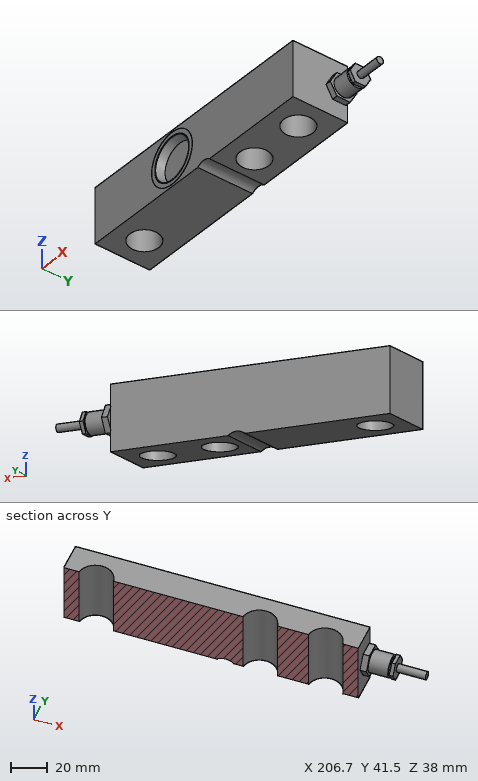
import cadquery as cq
import math

BEAM_LENGTH = 171.4
BEAM_SIDE = 38.0

HOLE_DIAMETER = 20.0
HOLE_POSITIONS = (19.0, 114.3, 152.3)

POCKET_X = 66.8
RIM_DIAMETER = 35.1
RIM_BORE_DIAMETER = 29.5
RIM_HEIGHT = 0.2
POCKET_DIAMETER = 28.5
POCKET_FLOOR_DIAMETER = 25.6
POCKET_DEPTH = 5.4

NOTCH_X = 94.0
NOTCH_WIDTH = 10.1
NOTCH_HEIGHT = 1.9

OVERALL_LENGTH = 206.7
NUT_ACROSS_FLATS = 16.0
NUT_LENGTH = 3.7
NUT_OVERHANG = 3.3
SLEEVE_DIAMETER = 13.2
SLEEVE_LENGTH = 11.4
NECK_DIAMETER = 10.7
NECK_LENGTH = 1.0
CAP_ACROSS_FLATS = 12.5
CAP_LENGTH = 2.3
CABLE_DIAMETER = 4.8

NUT_ACROSS_CORNERS = NUT_ACROSS_FLATS / math.cos(math.pi / 6)
GLAND_Y = BEAM_SIDE / 2 + NUT_OVERHANG - NUT_ACROSS_CORNERS / 2


def mounting_holes():
    return (
        cq.Workplane("XY", origin=(0, 0, -BEAM_SIDE / 2))
        .pushPoints([(x, 0) for x in HOLE_POSITIONS])
        .circle(HOLE_DIAMETER / 2)
        .extrude(BEAM_SIDE)
    )


def raised_rim():
    """Flat ring standing slightly proud of the front face."""
    return (
        cq.Workplane("XZ", origin=(POCKET_X, -BEAM_SIDE / 2, 0))
        .circle(RIM_DIAMETER / 2)
        .circle(RIM_BORE_DIAMETER / 2)
        .extrude(RIM_HEIGHT)
    )


def front_pocket():
    """Pocket with a tapered wall, turned about an axis along Y."""
    mouth = -BEAM_SIDE / 2
    floor = mouth + POCKET_DEPTH
    profile = (
        cq.Workplane("XY", origin=(POCKET_X, 0, 0))
        .moveTo(0, mouth)
        .lineTo(POCKET_DIAMETER / 2, mouth)
        .lineTo(POCKET_FLOOR_DIAMETER / 2, floor)
        .lineTo(0, floor)
        .close()
    )
    return profile.revolve(360, (0, 0, 0), (0, 1, 0))


def underside_notch():
    bottom = -BEAM_SIDE / 2
    return (
        cq.Workplane("XZ")
        .moveTo(NOTCH_X - NOTCH_WIDTH / 2, bottom)
        .threePointArc((NOTCH_X, bottom + NOTCH_HEIGHT), (NOTCH_X + NOTCH_WIDTH / 2, bottom))
        .close()
        .extrude(BEAM_SIDE / 2, both=True)
    )


def make_beam():
    block = cq.Workplane("XY").box(BEAM_LENGTH, BEAM_SIDE, BEAM_SIDE).translate((BEAM_LENGTH / 2, 0, 0))
    return block.union(raised_rim()).cut(mounting_holes()).cut(front_pocket()).cut(underside_notch())


def gland_plane(x):
    return cq.Workplane("YZ", origin=(x, GLAND_Y, 0))


def hexagon(x, across_flats, length):
    """Hexagonal prism with two corners pointing along Y."""
    return gland_plane(x).polygon(6, across_flats / math.cos(math.pi / 6)).extrude(length)


def cylinder(x, diameter, length):
    return gland_plane(x).circle(diameter / 2).extrude(length)


def make_gland():
    sleeve_x = BEAM_LENGTH + NUT_LENGTH
    neck_x = sleeve_x + SLEEVE_LENGTH
    cap_x = neck_x + NECK_LENGTH
    cable_x = cap_x + CAP_LENGTH
    return (
        hexagon(BEAM_LENGTH, NUT_ACROSS_FLATS, NUT_LENGTH)
        .union(cylinder(sleeve_x, SLEEVE_DIAMETER, SLEEVE_LENGTH))
        .union(cylinder(neck_x, NECK_DIAMETER, NECK_LENGTH))
        .union(hexagon(cap_x, CAP_ACROSS_FLATS, CAP_LENGTH))
        .union(cylinder(cable_x, CABLE_DIAMETER, OVERALL_LENGTH - cable_x))
    )


beam = make_beam()
cable_gland = make_gland()

result = cq.Compound.makeCompound([beam.val(), cable_gland.val()])